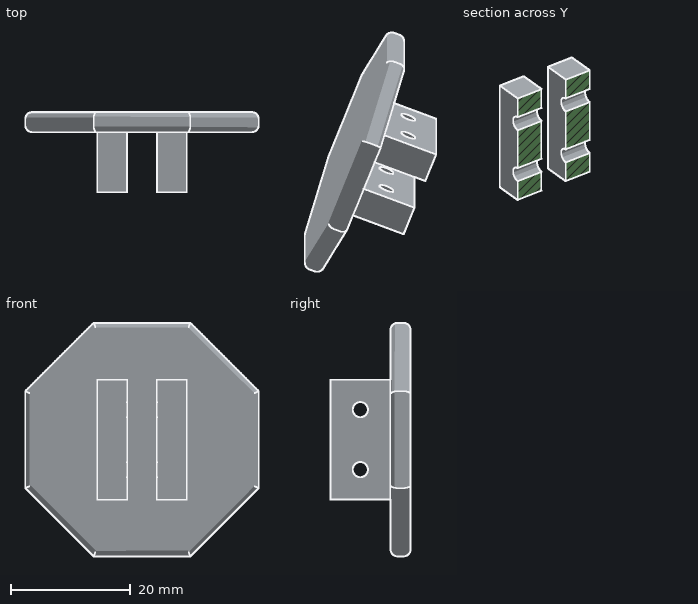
import cadquery as cq
import math

plate_width = 39.0
plate_thickness = 3.4
rim_radius = 1.2

lug_reach = 10.02
lug_thickness = 5.0
lug_height = 20.0
lug_spacing = 2 * lug_thickness

hole_diameter = 2.5
hole_spacing = lug_height / 2


def make_plate():
    """Regular octagon with flats on all four sides and both rims rounded."""
    corner_diameter = plate_width / math.cos(math.pi / 8)
    return (
        cq.Workplane("XY")
        .polygon(8, corner_diameter)
        .extrude(plate_thickness)
        .rotate((0, 0, 0), (0, 0, 1), 22.5)
        .faces("<Z or >Z")
        .edges()
        .fillet(rim_radius)
        .rotate((0, 0, 0), (1, 0, 0), -90)
    )


def make_lugs():
    """Two rectangular lugs, each with its back face on the plate at Y = 0."""
    return (
        cq.Workplane("XZ")
        .rarray(lug_spacing, 0.4, 2, 1)
        .rect(lug_thickness, lug_height)
        .extrude(lug_reach)
    )


def make_cross_holes():
    """Two pins to cut, one above the other, halfway along the lugs."""
    return (
        cq.Workplane("YZ")
        .center(-lug_reach / 2, 0)
        .rarray(0.4, hole_spacing, 1, 2)
        .circle(hole_diameter / 2)
        .extrude(lug_spacing, both=True)
    )


result = make_plate().union(make_lugs()).cut(make_cross_holes())